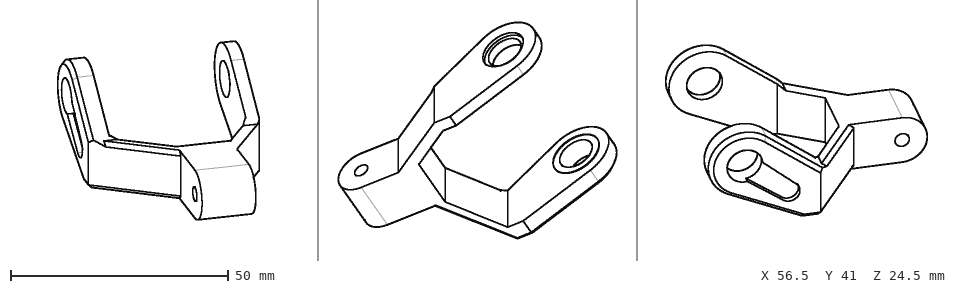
import cadquery as cq
import math

length = 56.5
width = 41.0
height = 24.5

eye_radius = 8.5
eye_x = eye_radius
eye_z = height - eye_radius
eye_bore = 8.5
tail_height = 12.0
tail_radius = tail_height / 2
tail_x = length - tail_radius
tail_bore = 3.4
top_bend_x = 27.5
bottom_bend_x = 22.3

thick_arm = 4.95
thin_arm = 3.1
tail_y_min = 18.55
tail_y_max = 31.45
crotch_x = 35.5
arm_outer_x = 26.45
thick_inner_x = 26.4
thin_inner_x = 25.75
thick_root_x = 39.05
thin_root_x = 40.85

chamfer = 1.0

recess_depth = 1.4
recess_eye_radius = 3.05
recess_tip_radius = 2.5
recess_tip_x = 19.05
recess_tip_z = 7.55

counterbore_diameter = 10.5
counterbore_depth = 0.85

pad_diameter = 12.0
pad_height = 0.15


def along_y(start):
    """Workplane at y = start; its local axes are X and Z, its normal -Y."""
    return cq.Workplane("XZ", origin=(0, start, 0))


def on_circle(center_x, center_z, radius, angle):
    return (center_x + radius * math.cos(angle), center_z + radius * math.sin(angle))


def eye_tangent(x, z, side):
    """Point where the line from (x, z) touches the eye, side +1 above or -1 below."""
    direction = math.atan2(z - eye_z, x - eye_x)
    spread = math.acos(eye_radius / math.hypot(x - eye_x, z - eye_z))
    return on_circle(eye_x, eye_z, eye_radius, direction + side * spread)


def side_profile():
    return (
        along_y(0)
        .moveTo(bottom_bend_x, 0)
        .lineTo(tail_x, 0)
        .threePointArc((length, tail_radius), (tail_x, tail_height))
        .lineTo(top_bend_x, tail_height)
        .lineTo(*eye_tangent(top_bend_x, tail_height, 1))
        .threePointArc((0, eye_z), eye_tangent(bottom_bend_x, 0, -1))
        .close()
        .extrude(-width)
    )


def plan_outline():
    points = [
        (0, 0),
        (arm_outer_x, 0),
        (thick_root_x, tail_y_min),
        (length, tail_y_min),
        (length, tail_y_max),
        (thin_root_x, tail_y_max),
        (arm_outer_x, width),
        (0, width),
        (0, width - thin_arm),
        (thin_inner_x, width - thin_arm),
        (crotch_x, tail_y_max),
        (crotch_x, tail_y_min),
        (thick_inner_x, thick_arm),
        (0, thick_arm),
    ]
    return cq.Workplane("XY").polyline(points).close().extrude(height)


def slope_bevel(edge_z, inner_z):
    """Wedge that bevels one long edge of the thick arm's sloping face."""
    slope_run = thick_root_x - arm_outer_x
    bevel_x = chamfer * math.hypot(slope_run, tail_y_min) / tail_y_min
    section = [(0, edge_z), (-bevel_x, edge_z), (0, inner_z)]
    bend_section = along_y(0).center(arm_outer_x, 0).polyline(section).close()
    root_section = bend_section.workplane(offset=-tail_y_min).center(slope_run, 0)
    return root_section.polyline(section).close().loft(ruled=True)


def below_incline():
    """Region under the plane of the rising arm's top, continued down to z = 0."""
    tangent_x, tangent_z = eye_tangent(top_bend_x, tail_height, 1)
    run_per_drop = (top_bend_x - tangent_x) / (tangent_z - tail_height)
    ground_x = top_bend_x + tail_height * run_per_drop
    points = [(tangent_x, tangent_z), (ground_x, 0), (0, 0)]
    return along_y(0).polyline(points).close().extrude(-width)


def recess():
    """Hull of a circle at the eye and a smaller one at the tip."""
    run_x = recess_tip_x - eye_x
    run_z = recess_tip_z - eye_z
    direction = math.atan2(run_z, run_x)
    spread = math.acos((recess_eye_radius - recess_tip_radius) / math.hypot(run_x, run_z))
    upper = direction + spread
    lower = direction - spread
    return (
        along_y(0)
        .moveTo(*on_circle(eye_x, eye_z, recess_eye_radius, upper))
        .lineTo(*on_circle(recess_tip_x, recess_tip_z, recess_tip_radius, upper))
        .threePointArc(
            on_circle(recess_tip_x, recess_tip_z, recess_tip_radius, direction),
            on_circle(recess_tip_x, recess_tip_z, recess_tip_radius, lower),
        )
        .lineTo(*on_circle(eye_x, eye_z, recess_eye_radius, lower))
        .close()
        .extrude(-recess_depth)
    )


def cylinder(x, z, diameter, start, depth):
    return along_y(start).center(x, z).circle(diameter / 2).extrude(-depth)


body = side_profile().faces("<Y").chamfer(chamfer).intersect(plan_outline())
top_bevel = slope_bevel(tail_height, tail_height - chamfer).cut(below_incline())
body = body.cut(slope_bevel(0, chamfer)).cut(top_bevel)
pad = cylinder(eye_x, eye_z, pad_diameter, thick_arm, pad_height)
eye_hole = cylinder(eye_x, eye_z, eye_bore, 0, width)
counterbore = cylinder(
    eye_x, eye_z, counterbore_diameter, width - counterbore_depth, counterbore_depth
)
tail_hole = cylinder(tail_x, tail_radius, tail_bore, 0, width)

result = body.union(pad).cut(eye_hole).cut(counterbore).cut(tail_hole).cut(recess())